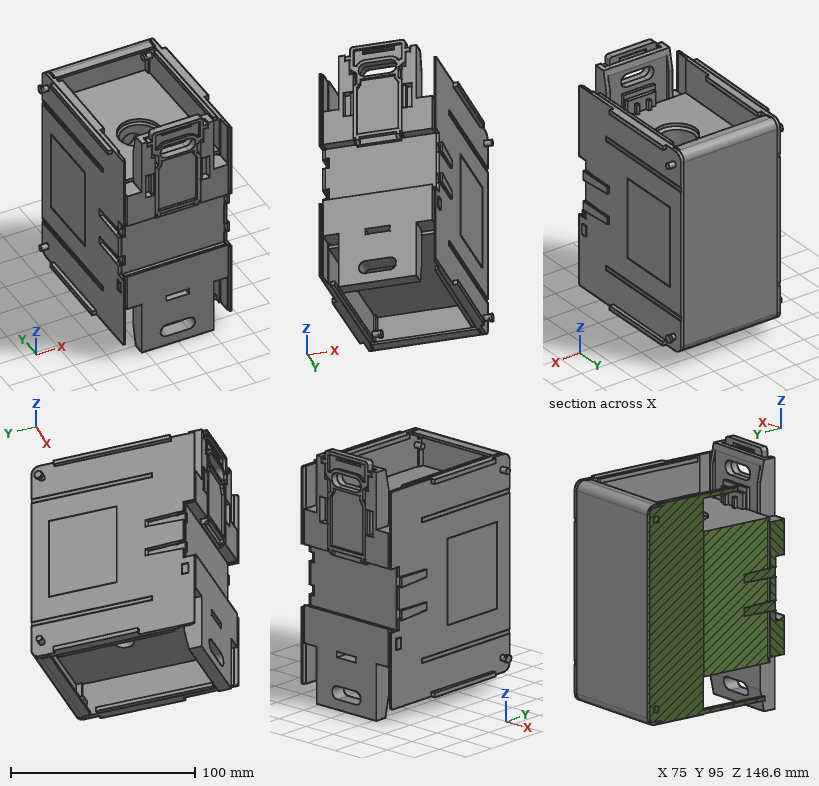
import cadquery as cq


DEPTH = 95.01
OVERALL_HEIGHT = 146.55
PLATE_TOP = 62.3
PLATE_OUTER = 33.2
CORNER_RADIUS = 5.0

RECESS_TOP = 18.1
RECESS_BOTTOM = -18.2
RAIL_FACE = 5.7
HOOK_RISE = 1.85
HOOK_DEPTH = 3.5

FRAME_FRONT = 10.1
FRAME_BODY_FRONT = 11.5
FLOOR = 41.1
FLOOR_THICKNESS = 2.0
FRAME_HALF_FRONT = 30.8
FRAME_HALF_BACK = 30.2
BORE_Y = 44.9
BORE_RADIUS = 11.1
BORE_RIM_Y = 44.5
BORE_RIM_RADIUS = 12.5
BORE_TAPER_BOTTOM = 37.9
BORE_SHELF = 20.0
BORE_SHELF_EDGE = 48.25
BORE_PIT = 10.0
CROSS_BORE_Z = 24.7
CROSS_BORE_RADIUS = 8.0
CROSS_BORE_BACK = 65.0
THROUGH_HOLE_Y = 53.9
THROUGH_HOLE_RADIUS = 5.57

BASE_HALF = 31.05
WEB_HALF = 31.6
BASE_TOP = 38.3
FOOT_HALF = 22.1
FOOT_END = 71.05
FOOT_END_THICKNESS = 7.4
FOOT_SLOPE_START = 58.5
FOOT_SLOT_LENGTH = 21.1
FOOT_SLOT_HEIGHT = 7.6
FOOT_SLOT_Z = -61.3
SCREWDRIVER_SLOT = (14.0, 3.3)
SCREWDRIVER_SLOT_Z = -39.45
SLOT_PAD_HALF = 9.4
SLOT_PAD_BACK = 12.35
PAD_RIB_TOP = 53.0
PAD_TOP = 50.0
SPRING_RIB_TOP = 47.0
SPRING_RIB_X = 4.0
SPRING_RIB_WIDTH = 1.9
SPRING_RIB_BACK = 14.4
FOOT_POCKET_HALF = 19.6
FOOT_POCKET_FRONT = 8.2
FOOT_POCKET_RIB_HALF = 10.4

CLIP_TOP = OVERALL_HEIGHT - FOOT_END
CLIP_THICKNESS = 4.15
CLIP_WIDE_HALF = 15.7
CLIP_SHOULDER = 59.3
CLIP_NARROW_HALF = 13.9
CLIP_BODY_BOTTOM = 19.4
CLIP_TIP = 15.7
TIP_NOTCH_HALF = 10.5
CLIP_TIP_HALF = 12.6
TIP_CHAMFER = 2.2
EAR_HALF = 18.4
EAR_BOTTOM = 67.8
EAR_TOP = 70.1
CLIP_SLOT_Z = 60.35
CLIP_SLOT_LENGTH = 21.6
CLIP_SLOT_HEIGHT = 8.1
CLIP_RIM = 2.0
CLIP_POCKET_DEPTH = 1.6
HANDLE_POCKET_TOP = 73.65
HANDLE_POCKET_BOTTOM = 63.5
HANDLE_WINDOW = (17.8, 1.9)
HANDLE_WINDOW_Z = 72.05
BODY_POCKET_TOP = 54.9
BODY_POCKET_TOP_HALF = 9.9
BODY_POCKET_SHOULDER = 49.8
BODY_POCKET_BOTTOM = 21.4
SHOULDER_TOP = 61.7
WAIST_TOP = 58.8
WAIST_SLOPE = 52.7
WAIST_BOTTOM = 51.3
SLIDE_GAP = 0.3
WINDOW_HALF = 19.6
WINDOW_TOP = 48.1
WINDOW_BOTTOM = 33.5
TAB_FRONT = 1.5

COVER_HALF = 31.15
COVER_THICKNESS = 1.8
COVER_INNER_RADIUS = 3.0
LIP_FRONT = 85.2
LIP_DROP = 0.4

PLATE_RECESS_FACE = 6.3
PLATE_RIM_INNER = 32.2
PLATE_RIM_DEPTH = 2.2
PLATE_FRONT_RADIUS = 1.0
LUG_HEIGHT = 2.6
LUG_BACK = 81.3
LUG_FRONT_LONG = 13.3
LUG_FRONT_SHORT = 32.0
LUG_OUTER = 35.4
LUG_OUTER_FLARE = 0.5
LUG_INNER_BACK = 28.05
LUG_INNER_FRONT = 28.6
LONG_LUG_STEP = 0.2
GROOVE_TOP = 41.5
GROOVE_BOTTOM = 39.0
GROOVE_FRONT = 24.75
GROOVE_DEPTH = 0.4
LABEL_DEPTH = 0.3
LABEL_Y, LABEL_Z = (45.2, 84.8), 24.8
RIB_Z = 9.45
RIB_BACK, RIB_BACK_HALF = 28.7, 2.1
RIB_RAMP = 27.6
RIB_FRONT_HALF = 2.85
RIB_BACK_RISE, RIB_FRONT_RISE = 0.8, 1.7
RIB_SHELL_BACK, RIB_SHELL_FRONT = 30.0, 29.4
RIB_WALL = 1.2
CATCH_Y, CATCH_Z = (3.55, 7.4), (-28.8, -22.4)
CATCH_HEIGHT = 0.65
POST_INNER = 29.2
POST_FRONT = 89.8
POST_GAP = (50.7, 57.0)

PIN_LENGTH = 12.0
PIN_END = 75.05 / 2
PIN_RADIUS = 1.7
PIN_Y, PIN_Z = 88.75, 53.75
PIN_HEAD_RADIUS = 2.2
PIN_HEAD_OFFSET = 0.6
PIN_HEAD_LENGTH = 1.4

BACK_INNER = DEPTH - COVER_THICKNESS


def box(x0, x1, y0, y1, z0, z1):
    return cq.Workplane("XY").box(x1 - x0, y1 - y0, z1 - z0, centered=False).translate((x0, y0, z0))


def side_prism(points, x0, x1):
    """Prism along X from a closed outline of (y, z) points."""
    return cq.Workplane("YZ").polyline(points).close().extrude(x1 - x0).translate((x0, 0, 0))


def plan_prism(points, z0, z1):
    """Prism along Z from a closed outline of (x, y) points."""
    return cq.Workplane("XY").polyline(points).close().extrude(z1 - z0).translate((0, 0, z0))


def front_prism(points, y0, y1):
    """Prism along Y from a closed outline of (x, z) points."""
    return cq.Workplane("XZ").polyline(points).close().extrude(-(y1 - y0)).translate((0, y0, 0))


def obround(length, height, z, y0, y1):
    """Round-ended bar along X, reaching through y0..y1."""
    bar = cq.Workplane("XZ").center(0, z).slot2D(length, height).extrude(-(y1 - y0))
    return bar.translate((0, y0, 0))


def upright_cylinder(y, radius, z0, z1):
    return cq.Workplane("XY").center(0, y).circle(radius).extrude(z1 - z0).translate((0, 0, z0))


def side_half(y):
    """Half width of the drafted frame sides at depth y."""
    slope = (FRAME_HALF_FRONT - FRAME_HALF_BACK) / (BACK_INNER - FRAME_FRONT)
    return FRAME_HALF_FRONT - slope * (y - FRAME_FRONT)


def rib(front, back_x, front_x, base_x, z):
    """Tapered rib from base_x out to the sloping face back_x..front_x."""
    plan = plan_prism(
        [(base_x, front), (front_x, front), (back_x, RIB_RAMP), (base_x, RIB_BACK)],
        z - RIB_FRONT_HALF, z + RIB_FRONT_HALF,
    )
    profile = side_prism(
        [(front, z - RIB_FRONT_HALF), (front, z + RIB_FRONT_HALF),
         (RIB_BACK, z + RIB_BACK_HALF), (RIB_BACK, z - RIB_BACK_HALF)],
        -PIN_END, PIN_END,
    )
    return plan.intersect(profile)


def left_rib_shells():
    shells = [
        rib(RAIL_FACE, -RIB_SHELL_BACK, -RIB_SHELL_FRONT, -PLATE_OUTER, z) for z in (RIB_Z, -RIB_Z)
    ]
    return shells[0].union(shells[1])


def make_frame():
    def plan(front, half_height):
        return plan_prism(
            [(-side_half(front), front), (side_half(front), front),
             (side_half(BACK_INNER), BACK_INNER), (-side_half(BACK_INNER), BACK_INNER)],
            -half_height, half_height,
        )

    floor_base = FLOOR - FLOOR_THICKNESS
    frame = plan(FRAME_FRONT, FLOOR)
    frame = frame.cut(
        box(-PLATE_OUTER, PLATE_OUTER, FRAME_FRONT, FRAME_BODY_FRONT, -floor_base, floor_base)
    )
    pit = upright_cylinder(BORE_Y, BORE_RADIUS, BORE_PIT, BORE_SHELF).intersect(
        box(-BORE_RADIUS, BORE_RADIUS, BORE_SHELF_EDGE, DEPTH, BORE_PIT, BORE_SHELF)
    )
    frame = frame.cut(upright_cylinder(BORE_RIM_Y, BORE_RIM_RADIUS, floor_base, FLOOR))
    frame = frame.cut(upright_cylinder(BORE_Y, BORE_RADIUS, BORE_SHELF, FLOOR))
    rim_taper = (
        cq.Workplane("XY", origin=(0, BORE_RIM_Y, floor_base)).circle(BORE_RIM_RADIUS)
        .workplane(offset=BORE_TAPER_BOTTOM - floor_base)
        .center(0, BORE_Y - BORE_RIM_Y).circle(BORE_RADIUS)
        .loft()
    )
    frame = frame.cut(rim_taper)
    frame = frame.cut(pit)
    cross_bore = cq.Workplane("XZ", origin=(0, BORE_SHELF_EDGE, CROSS_BORE_Z))
    frame = frame.cut(cross_bore.circle(CROSS_BORE_RADIUS).extrude(BORE_SHELF_EDGE - CROSS_BORE_BACK))
    frame = frame.cut(upright_cylinder(THROUGH_HOLE_Y, THROUGH_HOLE_RADIUS, -FLOOR, BORE_PIT))
    return frame.cut(left_rib_shells())


def mirrored(right):
    return right + [(-x, z) for x, z in reversed(right)]


def clip_tip(half):
    """Latch tip below the body, its front edge bevelled to ride over the rail."""
    return side_prism(
        [(0, CLIP_BODY_BOTTOM), (0, CLIP_TIP + TIP_CHAMFER), (TIP_CHAMFER, CLIP_TIP),
         (CLIP_THICKNESS, CLIP_TIP), (CLIP_THICKNESS, CLIP_BODY_BOTTOM)],
        -half, half,
    )


def make_clip():
    handle = box(-CLIP_WIDE_HALF, CLIP_WIDE_HALF, 0, CLIP_THICKNESS, CLIP_SHOULDER, CLIP_TOP)
    handle = handle.edges("|Y and >Z").fillet(CLIP_RIM)
    clip = handle.union(box(-EAR_HALF, EAR_HALF, 0, CLIP_THICKNESS, EAR_BOTTOM, EAR_TOP))
    clip = clip.union(
        box(-CLIP_NARROW_HALF, CLIP_NARROW_HALF, 0, CLIP_THICKNESS, CLIP_BODY_BOTTOM, CLIP_SHOULDER)
    )
    clip = clip.union(
        box(-CLIP_WIDE_HALF, CLIP_WIDE_HALF, TAB_FRONT, CLIP_THICKNESS, WINDOW_BOTTOM, WINDOW_TOP)
    )
    clip = clip.union(clip_tip(CLIP_TIP_HALF))
    clip = clip.cut(
        box(-TIP_NOTCH_HALF, TIP_NOTCH_HALF, 0, TIP_CHAMFER, CLIP_TIP, CLIP_BODY_BOTTOM)
    )

    waist_half = CLIP_NARROW_HALF - CLIP_RIM
    for side in (1, -1):
        clip = clip.cut(
            front_prism(
                [(side * CLIP_WIDE_HALF, SHOULDER_TOP), (side * waist_half, WAIST_TOP),
                 (side * waist_half, WAIST_SLOPE), (side * CLIP_NARROW_HALF, WAIST_BOTTOM),
                 (side * CLIP_WIDE_HALF, WAIST_BOTTOM)],
                0, CLIP_THICKNESS,
            )
        )

    handle_pocket_half = CLIP_WIDE_HALF - CLIP_RIM
    handle_pocket = box(
        -handle_pocket_half, handle_pocket_half, 0, CLIP_POCKET_DEPTH,
        HANDLE_POCKET_BOTTOM, HANDLE_POCKET_TOP,
    ).edges("|Y").fillet(CLIP_RIM / 2)
    slot_rim = obround(
        CLIP_SLOT_LENGTH + 2 * CLIP_RIM, CLIP_SLOT_HEIGHT + 2 * CLIP_RIM,
        CLIP_SLOT_Z, 0, CLIP_THICKNESS,
    )
    clip = clip.cut(handle_pocket.cut(slot_rim))
    body_pocket = front_prism(
        mirrored([
            (waist_half, BODY_POCKET_BOTTOM), (waist_half, BODY_POCKET_SHOULDER),
            (BODY_POCKET_TOP_HALF, WAIST_SLOPE), (BODY_POCKET_TOP_HALF, BODY_POCKET_TOP),
        ]),
        0, CLIP_POCKET_DEPTH,
    )
    clip = clip.cut(body_pocket)

    window_length, window_height = HANDLE_WINDOW
    clip = clip.cut(
        box(-window_length / 2, window_length / 2, 0, CLIP_THICKNESS,
            HANDLE_WINDOW_Z - window_height / 2, HANDLE_WINDOW_Z + window_height / 2)
    )
    return clip.cut(obround(CLIP_SLOT_LENGTH, CLIP_SLOT_HEIGHT, CLIP_SLOT_Z, 0, CLIP_THICKNESS))


def foot(direction):
    """Mounting foot reaching up (+1) or down (-1), thinning towards its end."""
    return side_prism(
        [(0, 0), (FRAME_FRONT, 0), (FRAME_FRONT, direction * FOOT_SLOPE_START),
         (FOOT_END_THICKNESS, direction * FOOT_END), (0, direction * FOOT_END)],
        -FOOT_HALF, FOOT_HALF,
    )


def make_clip_channel():
    """Channel in the base front that the clip slides in, with its finger windows."""
    channel = box(
        -CLIP_NARROW_HALF, CLIP_NARROW_HALF, 0, CLIP_THICKNESS, RECESS_TOP, CLIP_SHOULDER
    )
    wide = CLIP_WIDE_HALF + SLIDE_GAP
    channel = channel.union(
        box(-wide, wide, 0, CLIP_THICKNESS, CLIP_SHOULDER - SLIDE_GAP, FOOT_END)
    )
    ear = EAR_HALF + SLIDE_GAP
    channel = channel.union(box(-ear, ear, 0, CLIP_THICKNESS, EAR_BOTTOM - SLIDE_GAP, FOOT_END))
    return channel.union(
        box(-WINDOW_HALF, WINDOW_HALF, 0, CLIP_THICKNESS, WINDOW_BOTTOM, WINDOW_TOP)
    )


def make_base():
    base = box(-BASE_HALF, BASE_HALF, 0, FRAME_FRONT, -BASE_TOP, BASE_TOP)
    base = base.union(foot(1)).union(foot(-1))
    base = base.cut(
        box(-PIN_END, PIN_END, 0, FRAME_FRONT, RECESS_BOTTOM, RECESS_TOP)
    )
    base = base.union(box(-WEB_HALF, WEB_HALF, RAIL_FACE, FRAME_FRONT, RECESS_BOTTOM, RECESS_TOP))
    base = base.union(
        box(-FRAME_HALF_BACK, FRAME_HALF_BACK, FRAME_FRONT, FRAME_BODY_FRONT, -BASE_TOP, BASE_TOP)
    )
    base = base.union(
        side_prism(
            [(0, RECESS_BOTTOM), (0, RECESS_BOTTOM + HOOK_RISE), (HOOK_DEPTH, RECESS_BOTTOM)],
            -BASE_HALF, BASE_HALF,
        )
    )

    base = base.cut(
        box(-FOOT_POCKET_HALF, FOOT_POCKET_HALF, FOOT_POCKET_FRONT, FRAME_FRONT, BASE_TOP, FOOT_END)
    )
    base = base.union(
        box(-FOOT_POCKET_RIB_HALF, FOOT_POCKET_RIB_HALF, FOOT_POCKET_FRONT, FRAME_FRONT,
            BASE_TOP, PAD_RIB_TOP)
    )
    base = base.union(
        box(-SLOT_PAD_HALF, SLOT_PAD_HALF, FRAME_FRONT, SLOT_PAD_BACK, FLOOR, PAD_TOP)
    )
    for x in (SPRING_RIB_X, -SPRING_RIB_X):
        base = base.union(
            box(x - SPRING_RIB_WIDTH / 2, x + SPRING_RIB_WIDTH / 2, SLOT_PAD_BACK, SPRING_RIB_BACK,
                FLOOR, SPRING_RIB_TOP)
        )

    base = base.cut(make_clip_channel())
    base = base.cut(obround(CLIP_SLOT_LENGTH, CLIP_SLOT_HEIGHT, CLIP_SLOT_Z, 0, SPRING_RIB_BACK))
    base = base.cut(obround(FOOT_SLOT_LENGTH, FOOT_SLOT_HEIGHT, FOOT_SLOT_Z, 0, FRAME_FRONT))
    slot_length, slot_height = SCREWDRIVER_SLOT
    base = base.cut(
        box(-slot_length / 2, slot_length / 2, 0, FRAME_FRONT,
            SCREWDRIVER_SLOT_Z - slot_height / 2, SCREWDRIVER_SLOT_Z + slot_height / 2)
    )
    return base.cut(left_rib_shells())


def make_cover():
    shell = box(-COVER_HALF, COVER_HALF, LIP_FRONT, DEPTH, -PLATE_TOP, PLATE_TOP)
    shell = shell.edges("|X and >Y").fillet(CORNER_RADIUS)
    inner_top = PLATE_TOP - COVER_THICKNESS
    hollow = box(-COVER_HALF, COVER_HALF, 0, BACK_INNER, -inner_top, inner_top)
    cover = shell.cut(hollow.edges("|X and >Y").fillet(COVER_INNER_RADIUS))
    lip_start = DEPTH - CORNER_RADIUS
    for direction in (1, -1):
        top = direction * PLATE_TOP
        cover = cover.cut(
            side_prism(
                [(lip_start, top), (LIP_FRONT, top), (LIP_FRONT, top - direction * LIP_DROP)],
                -COVER_HALF, COVER_HALF,
            )
        )
    return cover


def lug(side, outside, is_long, direction):
    """Coupling lug along the top (+1) or bottom (-1) edge of a plate."""
    front = LUG_FRONT_LONG if is_long else LUG_FRONT_SHORT
    along = (LUG_BACK - front) / (LUG_BACK - LUG_FRONT_LONG)
    if outside:
        back_x = LUG_OUTER
        front_x = LUG_OUTER + LUG_OUTER_FLARE * along
    else:
        back_x = LUG_INNER_BACK
        front_x = LUG_INNER_BACK + (LUG_INNER_FRONT - LUG_INNER_BACK) * along
    root = (PLATE_OUTER + WEB_HALF) / 2
    edge = PLATE_TOP - LONG_LUG_STEP if is_long else PLATE_TOP
    z0, z1 = sorted((direction * edge, direction * (PLATE_TOP - LUG_HEIGHT)))
    return plan_prism(
        [(side * root, front), (side * front_x, front), (side * back_x, LUG_BACK),
         (side * root, LUG_BACK)],
        z0, z1,
    )


def plate_blank(side):
    """Plate with drafted inner face, thin front rim, rail notch, rounded corners and back posts."""
    plate = plan_prism(
        [(side * PLATE_OUTER, 0), (side * PLATE_RIM_INNER, 0),
         (side * PLATE_RIM_INNER, PLATE_RIM_DEPTH), (side * WEB_HALF, PLATE_RIM_DEPTH),
         (side * WEB_HALF, FRAME_FRONT), (side * FRAME_HALF_FRONT, FRAME_FRONT),
         (side * side_half(BACK_INNER), BACK_INNER), (side * side_half(BACK_INNER), DEPTH),
         (side * PLATE_OUTER, DEPTH)],
        -PLATE_TOP, PLATE_TOP,
    )
    outline = box(-PLATE_OUTER, PLATE_OUTER, 0, DEPTH, -PLATE_TOP, PLATE_TOP)
    outline = outline.edges("|X and >Y").fillet(CORNER_RADIUS)
    outline = outline.edges("|X and <Y").fillet(PLATE_FRONT_RADIUS)
    plate = plate.intersect(outline)
    plate = plate.cut(
        box(-PLATE_OUTER, PLATE_OUTER, 0, PLATE_RECESS_FACE, RECESS_BOTTOM, RECESS_TOP)
    )
    x0, x1 = sorted((side * POST_INNER, side * FRAME_HALF_FRONT))
    gap_low, gap_high = POST_GAP
    post_top = PLATE_TOP - COVER_THICKNESS
    for low, high in ((FLOOR, gap_low), (gap_high, post_top)):
        upper_post = box(x0, x1, POST_FRONT, BACK_INNER, low, high)
        lower_post = box(x0, x1, POST_FRONT, BACK_INNER, -high, -low)
        plate = plate.union(upper_post).union(lower_post)
    return plate


def make_plate(side, cover, pins):
    plate = plate_blank(side)
    outer = side * PLATE_OUTER

    for direction in (1, -1):
        for outside in (True, False):
            towards_x = side if outside else -side
            is_long = towards_x < 0 if direction > 0 else not outside
            plate = plate.union(lug(side, outside, is_long, direction))

    def skin(depth):
        return sorted((outer, outer - side * depth))

    for z0, z1 in ((GROOVE_BOTTOM, GROOVE_TOP), (-GROOVE_TOP, -GROOVE_BOTTOM)):
        plate = plate.cut(box(*skin(GROOVE_DEPTH), GROOVE_FRONT, DEPTH, z0, z1))
    plate = plate.cut(box(*skin(LABEL_DEPTH), *LABEL_Y, -LABEL_Z, LABEL_Z))

    if side < 0:
        plate = plate.union(left_rib_shells().cut(
            box(-PLATE_OUTER, PLATE_OUTER, 0, PLATE_RECESS_FACE, RECESS_BOTTOM, RECESS_TOP)))
        for z in (RIB_Z, -RIB_Z):
            plate = plate.cut(
                rib(RAIL_FACE, -RIB_SHELL_BACK - RIB_WALL, -RIB_SHELL_FRONT - RIB_WALL, outer, z)
            )
        plate = plate.cut(box(*skin(CATCH_HEIGHT), *CATCH_Y, *CATCH_Z))
    else:
        for z in (RIB_Z, -RIB_Z):
            plate = plate.union(
                rib(PLATE_RECESS_FACE, outer + RIB_BACK_RISE, outer + RIB_FRONT_RISE, WEB_HALF, z)
            )
            plate = plate.cut(
                rib(RAIL_FACE, outer + RIB_BACK_RISE - RIB_WALL, outer + RIB_FRONT_RISE - RIB_WALL,
                    FRAME_HALF_BACK, z)
            )
        plate = plate.union(box(*skin(-CATCH_HEIGHT), *CATCH_Y, *CATCH_Z))

    plate = plate.cut(cover)
    for pin in pins:
        plate = plate.cut(pin)
    return plate


def make_pin(side, direction):
    """Upper pins (+1) carry their head at the -X end, lower pins (-1) at the +X end."""
    start = -PIN_END if side < 0 else PIN_END - PIN_LENGTH
    head_start = start if direction > 0 else start + PIN_LENGTH - PIN_HEAD_LENGTH
    z = direction * PIN_Z

    def disc(x, y, radius, length):
        return cq.Workplane("YZ").center(y, z).circle(radius).extrude(length).translate((x, 0, 0))

    pin = disc(start, PIN_Y, PIN_RADIUS, PIN_LENGTH)
    return pin.union(disc(head_start, PIN_Y + PIN_HEAD_OFFSET, PIN_HEAD_RADIUS, PIN_HEAD_LENGTH))


frame = make_frame()
base = make_base()
clip = make_clip()
cover = make_cover()
pins = [make_pin(side, direction) for side in (-1, 1) for direction in (1, -1)]
plates = [make_plate(side, cover, pins) for side in (-1, 1)]

result = cq.Compound.makeCompound(
    [body.val() for body in [frame, base, clip, cover, *plates, *pins]]
)